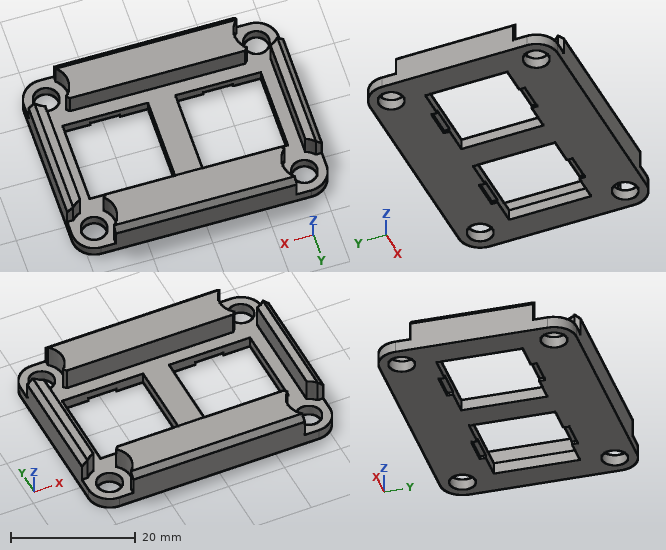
import cadquery as cq
import math

length = 43.0
width = 33.0
height = 6.0
base_thickness = 2.0

corner_radius = 3.75
screw_hole_diameter = 4.3
screw_clearance_radius = 3.7

side_wall_thickness = 2.5
long_wall_thickness = 7.0
wall_chamfer = 1.0

window_size = 14.4
window_pitch = 19.05
clip_plate_thickness = 1.5
clip_recess_width = 5.0
clip_recess_depth = 1.0

wall_height = height - base_thickness
hole_x = length / 2 - corner_radius
hole_y = width / 2 - corner_radius
inner_length = length - 2 * side_wall_thickness
inner_width = width - 2 * long_wall_thickness

crossing_offset = corner_radius - wall_chamfer
wall_end_inset = corner_radius + math.sqrt(screw_clearance_radius**2 - crossing_offset**2)
bevel_start_inset = corner_radius + crossing_offset
bevel_size = long_wall_thickness - bevel_start_inset


def make_blank():
    """Full-height rounded block with its top edges chamfered along the walls."""
    block = cq.Workplane("XY").rect(length, width).extrude(height)
    block = block.faces(">Z").edges().chamfer(wall_chamfer)
    rounded = cq.Workplane("XY").rect(length, width).extrude(height)
    rounded = rounded.edges("|Z").fillet(corner_radius)
    return block.intersect(rounded)


def make_inner_pocket():
    """Space enclosed by the walls, down to the base."""
    return (
        cq.Workplane("XY")
        .workplane(offset=base_thickness)
        .rect(inner_length, inner_width)
        .extrude(wall_height)
    )


def make_corner_clearance(x_sign, y_sign):
    """Space around one screw hole: square corner, round relief and wall-end bevel."""
    level = cq.Workplane("XY").workplane(offset=base_thickness)
    relief = level.center(x_sign * hole_x, y_sign * hole_y).circle(screw_clearance_radius)
    relief = relief.extrude(wall_height)

    end_x = length / 2 - wall_end_inset
    end_y = width / 2 - wall_end_inset
    square_corner = (
        level.moveTo(x_sign * (end_x + wall_end_inset / 2), y_sign * (end_y + wall_end_inset / 2))
        .rect(wall_end_inset, wall_end_inset)
        .extrude(wall_height)
    )

    bevel_start_y = width / 2 - bevel_start_inset
    bevel_end_y = width / 2 - long_wall_thickness
    inner_end_x = length / 2 - side_wall_thickness
    bevel = (
        level.moveTo(x_sign * end_x, y_sign * bevel_start_y)
        .lineTo(x_sign * (end_x - bevel_size), y_sign * bevel_end_y)
        .lineTo(x_sign * inner_end_x, y_sign * bevel_end_y)
        .lineTo(x_sign * inner_end_x, y_sign * bevel_start_y)
        .close()
        .extrude(wall_height)
    )
    return relief.union(square_corner).union(bevel)


def make_window(x_center):
    """Square through window with a clip recess under its two Y edges."""
    window = cq.Workplane("XY").center(x_center, 0).rect(window_size, window_size)
    window = window.extrude(base_thickness)
    recess_length = window_size + 2 * clip_recess_depth
    recess = cq.Workplane("XY").center(x_center, 0).rect(clip_recess_width, recess_length)
    recess = recess.extrude(base_thickness - clip_plate_thickness)
    return window.union(recess)


def make_screw_holes():
    """Four through holes, one at each corner."""
    return (
        cq.Workplane("XY")
        .rect(2 * hole_x, 2 * hole_y, forConstruction=True)
        .vertices()
        .circle(screw_hole_diameter / 2)
        .extrude(base_thickness)
    )


result = make_blank().cut(make_inner_pocket())
for x_sign in (-1, 1):
    for y_sign in (-1, 1):
        result = result.cut(make_corner_clearance(x_sign, y_sign))
    result = result.cut(make_window(x_sign * window_pitch / 2))
result = result.cut(make_screw_holes())